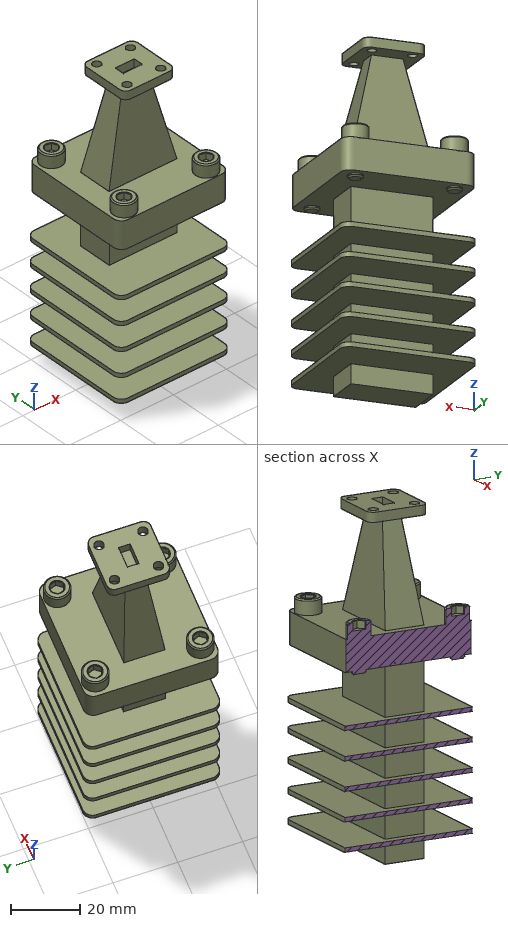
import cadquery as cq

total_height = 105.0
body_height = 60.0
plate_thickness = 5.0
flange_thickness = 3.0
plate_bottom = body_height
plate_top = plate_bottom + 2 * plate_thickness
flange_bottom = total_height - flange_thickness
horn_height = flange_bottom - plate_top

body_x = 25.6
body_y = 12.9

fin_side = 42.0
fin_corner_radius = 3.0
fin_thickness = 1.5
fin_count = 5
fin_pitch = 9.1
lowest_fin_bottom = 6.1

plate_side = 41.4
plate_corner_radius = 3.0

horn_base_x = body_x
horn_base_y = 12.7
horn_top_x = 9.9
horn_top_y = 6.0

flange_side = 19.2
flange_corner_radius = 2.3
flange_hole_diameter = 2.9
flange_hole_spacing_x = 12.7
flange_hole_spacing_y = 13.5
waveguide_x = 7.1
waveguide_y = 3.6
waveguide_depth = flange_thickness

screw_spacing_x = 31.0
screw_spacing_y = 32.4
screw_head_diameter = 8.0
screw_head_height = 4.7
screw_head_chamfer = 0.4
screw_shank_diameter = 4.7
screw_tip_length = 0.9
screw_tip_chamfer = 0.5
socket_across_corners = 4.6
socket_mouth_diameter = 4.6
socket_mouth_depth = 0.2
socket_mouth_taper = 45
socket_depth = 2.5
socket_turn = -10


def rounded_square(side, thickness, corner_radius, bottom):
    """Square plate with rounded vertical corners, centred on the Z axis."""
    plate = cq.Workplane("XY").workplane(offset=bottom).rect(side, side).extrude(thickness)
    return plate.edges("|Z").fillet(corner_radius)


def make_body():
    body = cq.Workplane("XY").rect(body_x, body_y).extrude(body_height)
    for index in range(fin_count):
        fin_bottom = lowest_fin_bottom + index * fin_pitch
        body = body.union(rounded_square(fin_side, fin_thickness, fin_corner_radius, fin_bottom))
    return body


def make_plates():
    return rounded_square(plate_side, 2 * plate_thickness, plate_corner_radius, plate_bottom)


def make_horn():
    return (
        cq.Workplane("XY")
        .workplane(offset=plate_top)
        .rect(horn_base_x, horn_base_y)
        .workplane(offset=horn_height)
        .rect(horn_top_x, horn_top_y)
        .loft(ruled=True)
    )


def make_flange():
    flange = rounded_square(flange_side, flange_thickness, flange_corner_radius, flange_bottom)
    return (
        flange.faces(">Z")
        .workplane(origin=(0, 0, total_height))
        .rarray(flange_hole_spacing_x, flange_hole_spacing_y, 2, 2)
        .hole(flange_hole_diameter)
    )


def make_waveguide_pocket():
    pocket = cq.Workplane("XY").workplane(offset=total_height)
    return pocket.rect(waveguide_x, waveguide_y).extrude(-waveguide_depth)


def make_screw():
    """Screw on the Z axis, from its tip below the plates to its head above them."""
    head = (
        cq.Workplane("XY")
        .workplane(offset=plate_top)
        .circle(screw_head_diameter / 2)
        .extrude(screw_head_height)
        .faces(">Z")
        .chamfer(screw_head_chamfer)
    )
    socket = (
        cq.Workplane("XY")
        .workplane(offset=plate_top + screw_head_height)
        .transformed(rotate=(0, 0, socket_turn))
        .polygon(6, socket_across_corners)
        .extrude(-socket_depth)
    )
    mouth = (
        cq.Workplane("XY")
        .workplane(offset=plate_top + screw_head_height)
        .circle(socket_mouth_diameter / 2)
        .extrude(-socket_mouth_depth, taper=socket_mouth_taper)
    )
    shank = (
        cq.Workplane("XY")
        .workplane(offset=plate_bottom - screw_tip_length)
        .circle(screw_shank_diameter / 2)
        .extrude(screw_tip_length + 2 * plate_thickness)
        .faces("<Z")
        .chamfer(screw_tip_chamfer)
    )
    return head.cut(socket).cut(mouth).union(shank)


result = make_body().union(make_plates()).union(make_horn()).union(make_flange())
result = result.cut(make_waveguide_pocket())

screw = make_screw()
for side_x in (-1, 1):
    for side_y in (-1, 1):
        screw_position = (side_x * screw_spacing_x / 2, side_y * screw_spacing_y / 2, 0)
        result = result.union(screw.translate(screw_position))